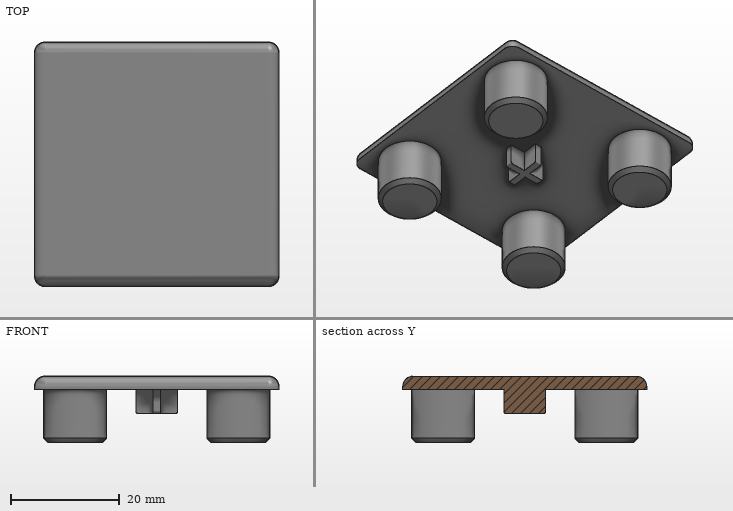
import cadquery as cq

plate_side = 45.0
plate_thickness = 2.5
edge_radius = 2.0

total_height = 12.25
peg_diameter = 11.6
peg_spacing = 30.0
peg_chamfer = 0.8
peg_length = total_height - plate_thickness

cross_span = 7.7
cross_arm_width = 1.35
cross_depth = 4.4
arm_tip_radius = 0.4


def make_plate():
    """Plate with rounded corners and an equally rounded top edge."""
    blank = cq.Workplane("XY").box(plate_side, plate_side, plate_thickness, centered=(True, True, False))
    return blank.edges("|Z or >Z").fillet(edge_radius)


def make_pegs():
    """Pegs at the corners of a centred square, chamfered at the free end."""
    return (
        cq.Workplane("XY")
        .rect(peg_spacing, peg_spacing, forConstruction=True)
        .vertices()
        .circle(peg_diameter / 2)
        .extrude(-peg_length)
        .faces("<Z")
        .chamfer(peg_chamfer)
    )


def make_cross_bar():
    """One bar of the cross along X, with the lower edge of each tip rounded."""
    return (
        cq.Workplane("XY")
        .rect(cross_span, cross_arm_width)
        .extrude(-cross_depth)
        .faces("<Z")
        .edges("|Y")
        .fillet(arm_tip_radius)
    )


result = make_plate().union(make_pegs())
for bar_angle in (0, 90):
    bar = make_cross_bar().rotate((0, 0, 0), (0, 0, 1), bar_angle)
    result = result.union(bar)